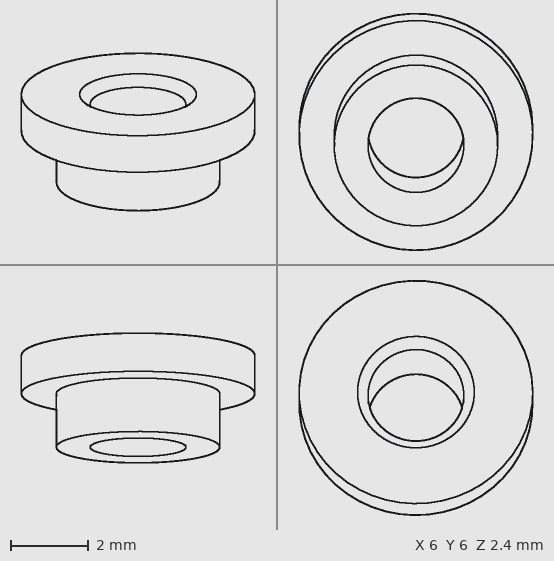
import cadquery as cq

flange_diameter = 6.0
sleeve_diameter = 4.2
bore_diameter = 2.46
bore_mouth_diameter = 3.0
total_height = 2.4
flange_thickness = 1.0

sleeve_length = total_height - flange_thickness
bore_chamfer = (bore_mouth_diameter - bore_diameter) / 2

sleeve = cq.Workplane("XY").circle(sleeve_diameter / 2).extrude(sleeve_length)
body = sleeve.faces(">Z").workplane().circle(flange_diameter / 2).extrude(flange_thickness)

bored_body = body.faces(">Z").workplane().hole(bore_diameter)
bore_mouth = cq.selectors.RadiusNthSelector(0)
result = bored_body.faces(">Z").edges(bore_mouth).chamfer(bore_chamfer)